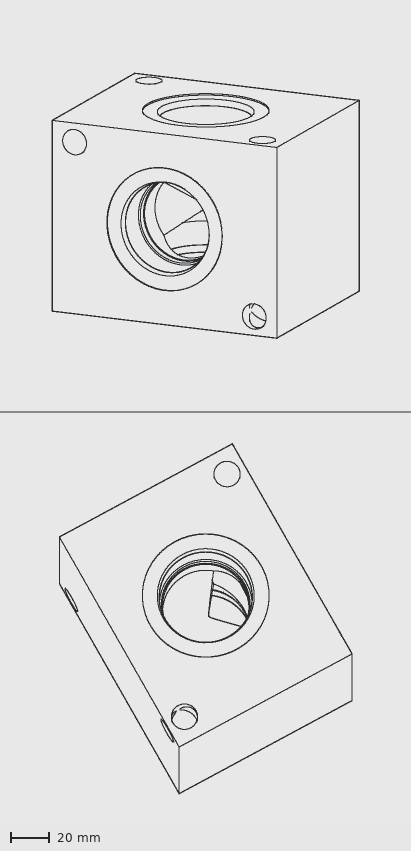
import cadquery as cq
import math

X_AXIS = ((0, 0, 0), (1, 0, 0))

LENGTH = 127.0
DEPTH = 101.6
HEIGHT = 101.6

BOLT_DIAMETER = 13.5
BOLT_X = 50.8
BOLT_OFFSET = 40.6

SPOTFACE_DIAMETER = 65.2
SPOTFACE_DEPTH = 0.8
MOUTH_DIAMETER = 49.8
SEAL_CONE_END_DIAMETER = 48.0
SEAL_CONE_DEPTH = 4.1
THREAD_DIAMETER = 47.6
THREAD_DEPTH = 19.8
TAP_DRILL_DIAMETER = 45.6
TAP_DRILL_DEPTH = 23.9
BORE_DIAMETER = 44.5
DRILL_POINT_ANGLE = 118.0
TIP_TO_CENTRE = 0.8


def port_cutter(face_distance):
    """Stepped port on the +Z axis, drilled down from a face at this distance from the centre."""
    point_height = BORE_DIAMETER / 2 / math.tan(math.radians(DRILL_POINT_ANGLE / 2))
    bore_end = TIP_TO_CENTRE + point_height
    spotface = face_distance - SPOTFACE_DEPTH
    seal_end = face_distance - SEAL_CONE_DEPTH
    thread_end = face_distance - THREAD_DEPTH
    tap_drill_end = face_distance - TAP_DRILL_DEPTH
    profile = [
        (0, face_distance),
        (SPOTFACE_DIAMETER / 2, face_distance),
        (SPOTFACE_DIAMETER / 2, spotface),
        (MOUTH_DIAMETER / 2, spotface),
        (SEAL_CONE_END_DIAMETER / 2, seal_end),
        (THREAD_DIAMETER / 2, seal_end),
        (THREAD_DIAMETER / 2, thread_end),
        (TAP_DRILL_DIAMETER / 2, thread_end),
        (TAP_DRILL_DIAMETER / 2, tap_drill_end),
        (BORE_DIAMETER / 2, tap_drill_end),
        (BORE_DIAMETER / 2, bore_end),
        (0, TIP_TO_CENTRE),
    ]
    return cq.Workplane("XZ").polyline(profile).close().revolve(360, (0, 0, 0), (0, 1, 0))


def bolt_holes(plane, thickness):
    """Pair of mounting holes running right through the block, normal to the plane."""
    corners = [(-BOLT_X, BOLT_OFFSET), (BOLT_X, -BOLT_OFFSET)]
    circles = cq.Workplane(plane).pushPoints(corners).circle(BOLT_DIAMETER / 2)
    return circles.extrude(thickness / 2, both=True)


block = cq.Workplane("XY").box(LENGTH, DEPTH, HEIGHT)

top_port = port_cutter(HEIGHT / 2)
bottom_port = top_port.rotate(*X_AXIS, 180)
front_port = port_cutter(DEPTH / 2).rotate(*X_AXIS, 90)
for port in (top_port, bottom_port, front_port):
    block = block.cut(port)

block = block.cut(bolt_holes("XY", HEIGHT))
block = block.cut(bolt_holes("XZ", DEPTH))

result = block